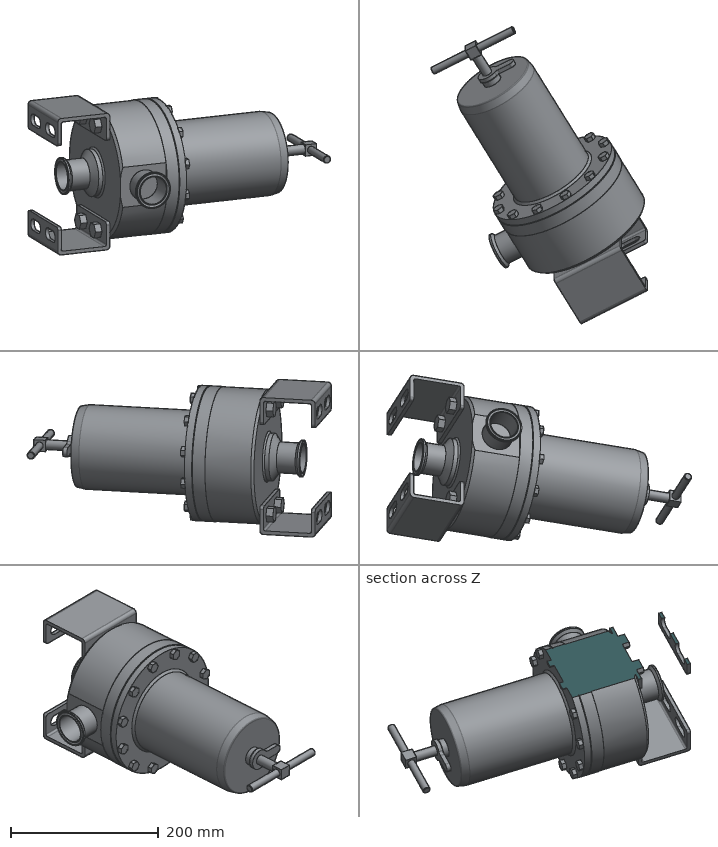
import cadquery as cq
import math


housing_radius = 91.5
housing_chamfer = 3.5
outlet_flat_x = 87.0

flange_radius = 92.0
flange_bottom = 67.0
flange_top = 95.5
seam_y = 85.0
seam_width = 0.8
seam_depth = 0.8

bolt_count = 12
bolt_pitch = 360 / bolt_count
bolt_circle_radius = 84.3
bolt_across_flats = 12.8
bolt_head_height = 6.0

tube_radius = 57.5
tube_shoulder_y = 249.3
tube_top = 261.2
tube_top_radius = 55.0
tube_edge_fillet = 1.0
weld_size = 3.0

neck_radius = 12.8
ring_radius = 14.5
ring_bottom = 269.5
ring_thickness = 6.0
lever_half_width = 6.5
lever_end_x = -40.5
lever_blend_radius = 6.5
stem_radius = 6.8
block_size = 16.0
handle_top = 322.8
bar_radius = 5.0
bar_length = 126.2
bar_chamfer = 0.8

pipe_radius = 21.0
bore_radius = 19.0
ferrule_radius = 25.0
ferrule_rim = 2.8
ferrule_flare = 3.5
gasket_groove_radius = 22.0
gasket_groove_size = 1.5

inlet_length = 48.7
collar_radius = 32.5
collar_weld = 2.5
collar_height = 8.5
cone_end = 16.5

outlet_tip_x = 118.2
outlet_y = 35.0

overall_length = 399.5
bracket_width = 102.3
bracket_depth = overall_length - handle_top
bracket_leg = 38.7
bracket_height = 191.5
bracket_outer_z = bracket_height / 2
bracket_thickness = 5.0
bend_outer_radius = 5.0
bend_inner_radius = 2.8
leg_corner_radius = 4.0
hole_offset_x = 25.0
hole_z = 73.5
slot_length = 32.8
slot_height = 16.0
mount_bolt_across_flats = 19.0
mount_bolt_height = 9.5


def across_corners(across_flats):
    return across_flats / math.cos(math.pi / 6)


def y_plane(y):
    """Sketch plane at height y, with local x along +X, local y along +Z and its normal along -Y."""
    return cq.Workplane("XZ", origin=(0, y, 0))


def cylinder_y(radius, start, end):
    return y_plane(end).circle(radius).extrude(end - start)


def revolve_y(points):
    """Revolve a closed (radius, y) outline about the Y axis."""
    return cq.Workplane("XY").polyline(points).close().revolve(360, (0, 0, 0), (0, 1, 0))


def make_housing():
    body = cylinder_y(housing_radius, 0, flange_bottom).faces("<Y").chamfer(housing_chamfer)
    flat_cutter = cq.Workplane("XY").box(
        housing_radius, 2 * flange_bottom, 2 * housing_radius, centered=(False, False, True)
    )
    return body.cut(flat_cutter.translate((outlet_flat_x, -flange_bottom / 2, 0)))


def make_flanges():
    flanges = cylinder_y(flange_radius, flange_bottom, flange_top)
    seam_start = seam_y - seam_width / 2
    seam_end = seam_y + seam_width / 2
    seam = cylinder_y(flange_radius, seam_start, seam_end).cut(
        cylinder_y(flange_radius - seam_depth, seam_start, seam_end)
    )
    return flanges.cut(seam)


def make_flange_bolts():
    head_top = flange_top + bolt_head_height
    first_angle = math.radians(bolt_pitch / 2)
    first_place = (bolt_circle_radius * math.cos(first_angle), bolt_circle_radius * math.sin(first_angle))
    first_head = (
        y_plane(head_top)
        .center(*first_place)
        .polygon(6, across_corners(bolt_across_flats))
        .extrude(bolt_head_height)
    )
    heads = cq.Workplane("XY")
    for index in range(bolt_count):
        heads = heads.add(first_head.rotate((0, 0, 0), (0, 1, 0), index * bolt_pitch))
    return heads


def make_tube():
    tube = revolve_y([
        (0, flange_top),
        (tube_radius + weld_size, flange_top),
        (tube_radius, flange_top + weld_size),
        (tube_radius, tube_shoulder_y),
        (tube_top_radius, tube_top),
        (0, tube_top),
    ])
    return tube.faces(">Y").edges().fillet(tube_edge_fillet)


def make_lock_ring():
    ring_top = ring_bottom + ring_thickness
    end_centre_x = lever_end_x + lever_half_width

    blend_centre_z = lever_half_width + lever_blend_radius
    centre_distance = ring_radius + lever_blend_radius
    blend_centre_x = -math.sqrt(centre_distance**2 - blend_centre_z**2)
    touch_x = blend_centre_x * ring_radius / centre_distance
    touch_z = blend_centre_z * ring_radius / centre_distance
    mid_angle = (math.atan2(touch_z - blend_centre_z, touch_x - blend_centre_x) - math.pi / 2) / 2
    blend_mid_x = blend_centre_x + lever_blend_radius * math.cos(mid_angle)
    blend_mid_z = blend_centre_z + lever_blend_radius * math.sin(mid_angle)

    return (
        y_plane(ring_top)
        .moveTo(touch_x, touch_z)
        .threePointArc((ring_radius, 0), (touch_x, -touch_z))
        .threePointArc((blend_mid_x, -blend_mid_z), (blend_centre_x, -lever_half_width))
        .lineTo(end_centre_x, -lever_half_width)
        .threePointArc((lever_end_x, 0), (end_centre_x, lever_half_width))
        .lineTo(blend_centre_x, lever_half_width)
        .threePointArc((blend_mid_x, blend_mid_z), (touch_x, touch_z))
        .close()
        .extrude(ring_thickness)
    )


def make_handle():
    block_y = handle_top - block_size / 2
    neck = cylinder_y(neck_radius, tube_top, ring_bottom)
    stem = cylinder_y(stem_radius, ring_bottom, block_y)
    block = cq.Workplane("XY").box(block_size, block_size, block_size).translate((0, block_y, 0))
    bar = (
        cq.Workplane("YZ", origin=(-bar_length / 2, block_y, 0))
        .circle(bar_radius)
        .extrude(bar_length)
        .faces("<X or >X")
        .chamfer(bar_chamfer)
    )
    return neck.union(make_lock_ring()).union(stem).union(block).union(bar)


def make_pipe(length):
    """Pipe with a flared clamp ferrule, pointing along -Y from y = 0, not yet bored."""
    pipe = revolve_y([
        (0, 0),
        (pipe_radius, 0),
        (pipe_radius, ferrule_rim + ferrule_flare - length),
        (ferrule_radius, ferrule_rim - length),
        (ferrule_radius, -length),
        (0, -length),
    ])
    groove = cq.Workplane("XY").center(gasket_groove_radius, -length).circle(gasket_groove_size)
    groove = groove.revolve(360, (-gasket_groove_radius, 0, 0), (-gasket_groove_radius, 1, 0))
    return pipe.cut(groove)


def make_inlet():
    collar = revolve_y([
        (0, 0),
        (collar_radius + collar_weld, 0),
        (collar_radius, -collar_weld),
        (collar_radius, -collar_height),
        (pipe_radius, -cone_end),
        (0, -cone_end),
    ])
    return make_pipe(inlet_length).union(collar).cut(cylinder_y(bore_radius, -inlet_length, 0))


def make_outlet():
    length = outlet_tip_x - outlet_flat_x
    pipe = make_pipe(length).cut(cylinder_y(bore_radius, -length, 0))
    return pipe.rotate((0, 0, 0), (0, 0, 1), 90).translate((outlet_flat_x, outlet_y, 0))


def make_upper_bracket():
    leg_end_z = bracket_outer_z - bracket_leg
    outer = cq.Workplane("XY").box(bracket_width, bracket_depth, bracket_leg, centered=(True, False, False))
    outer = outer.translate((0, -bracket_depth, leg_end_z))
    outer = outer.edges("|X and >Z").fillet(bend_outer_radius)
    inner = cq.Workplane("XY").box(
        bracket_width,
        bracket_depth - 2 * bracket_thickness,
        bracket_leg - bracket_thickness,
        centered=(True, False, False),
    )
    inner = inner.translate((0, bracket_thickness - bracket_depth, leg_end_z))
    inner = inner.edges("|X and >Z").fillet(bend_inner_radius)
    channel = outer.cut(inner).edges("|Y and <Z").fillet(leg_corner_radius)

    hole_places = [(-hole_offset_x, hole_z), (hole_offset_x, hole_z)]
    slots = (
        y_plane(bracket_thickness - bracket_depth)
        .pushPoints(hole_places)
        .slot2D(slot_length, slot_height)
        .extrude(bracket_thickness)
    )
    bolts = (
        y_plane(-bracket_thickness)
        .pushPoints(hole_places)
        .polygon(6, across_corners(mount_bolt_across_flats))
        .extrude(mount_bolt_height)
    )
    return channel.cut(slots).union(bolts)


upper_bracket = make_upper_bracket()
lower_bracket = upper_bracket.mirror("XY")

result = (
    make_housing()
    .union(make_flanges())
    .union(make_tube())
    .union(make_flange_bolts())
    .union(make_handle())
    .union(make_inlet())
    .union(make_outlet())
    .union(upper_bracket)
    .union(lower_bracket)
)